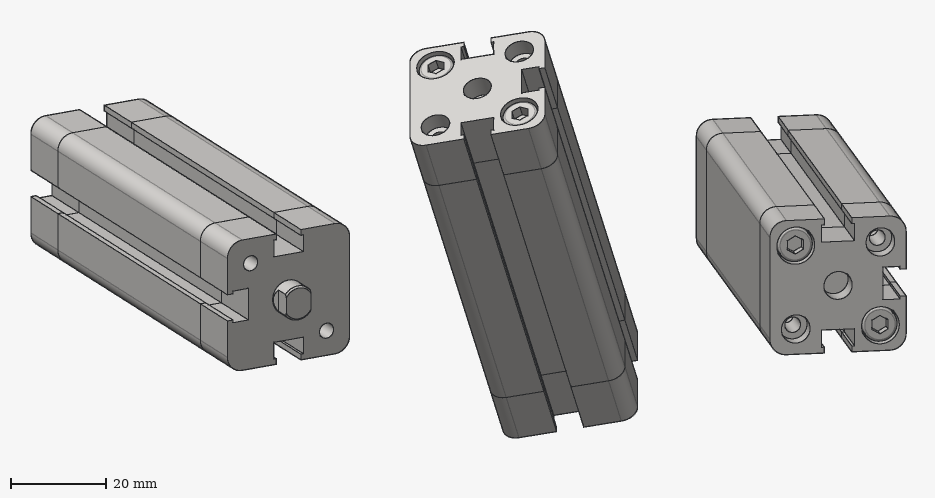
import cadquery as cq
import math


TOTAL_LENGTH = 92.5
SIDE = 29.0
CORNER_RADIUS = 3.5
ROD_PROTRUSION = 4.5
CAP_LENGTH = 12.1
FRONT_FACE = TOTAL_LENGTH - ROD_PROTRUSION
FRONT_CAP_START = FRONT_FACE - CAP_LENGTH
BARREL_LENGTH = FRONT_CAP_START - CAP_LENGTH

SLOT_TURNS = (0, 90, 180)
SLOT_MOUTH = 5.8
SLOT_WIDTH = 7.0
SLOT_DEPTH = 5.0
SLOT_LIP = 1.3

CORNER_PITCH = 18.0
CORNER_OFFSET = CORNER_PITCH / 2
HOLE_CENTRES = [(-CORNER_OFFSET, CORNER_OFFSET), (CORNER_OFFSET, -CORNER_OFFSET)]
SCREW_CENTRES = [(CORNER_OFFSET, CORNER_OFFSET), (-CORNER_OFFSET, -CORNER_OFFSET)]

THROUGH_DIAMETER = 3.3
COUNTERBORE_DIAMETER = 6.1
COUNTERBORE_DEPTH = 3.7
CENTRE_BORE_DIAMETER = 6.0
CENTRE_BORE_DEPTH = 5.0

RECESS_DIAMETER = 8.05
RECESS_DEPTH = 4.5
HEAD_DIAMETER = 7.4
HEAD_FILLET = 0.5
HEAD_SUNK = 0.6
HEAD_HEIGHT = RECESS_DEPTH - HEAD_SUNK
SOCKET_WIDTH = 3.4
SOCKET_SIDES = 6
SOCKET_DEPTH = 2.3

ROD_DIAMETER = 7.6
ROD_CHAMFER = 0.4
ROD_FLAT_WIDTH = 5.9
ROD_FLAT_GAP = 1.1


def plane_at(x):
    """Workplane facing +X at the given X; its local axes are Y and Z."""
    return cq.Workplane("YZ", origin=(x, 0, 0))


def turned(shape, degrees):
    """Shape rotated about the cylinder axis."""
    return shape.rotate((0, 0, 0), (1, 0, 0), degrees)


def slot_cutter(start, length):
    """T-shaped slot, open at the +Z side."""
    half_mouth = SLOT_MOUTH / 2
    half_width = SLOT_WIDTH / 2
    top = SIDE / 2
    under_lip = top - SLOT_LIP
    floor = top - SLOT_DEPTH
    return (
        plane_at(start)
        .moveTo(-half_mouth, top)
        .lineTo(-half_mouth, under_lip)
        .lineTo(-half_width, under_lip)
        .lineTo(-half_width, floor)
        .lineTo(half_width, floor)
        .lineTo(half_width, under_lip)
        .lineTo(half_mouth, under_lip)
        .lineTo(half_mouth, top)
        .close()
        .extrude(length)
    )


def profile_block(start, length):
    """Length of the common profile: rounded square, T-slots and two through holes."""
    block = plane_at(start).rect(SIDE, SIDE).extrude(length)
    block = block.edges("|X").fillet(CORNER_RADIUS)
    slot = slot_cutter(start, length)
    for turn in SLOT_TURNS:
        block = block.cut(turned(slot, turn))
    holes = plane_at(start).pushPoints(HOLE_CENTRES).circle(THROUGH_DIAMETER / 2).extrude(length)
    return block.cut(holes)


def screw_head():
    """Rounded screw head on the X axis with a hexagon socket in its rear face."""
    head = plane_at(HEAD_SUNK).circle(HEAD_DIAMETER / 2).extrude(HEAD_HEIGHT)
    head = head.faces("<X").edges().fillet(HEAD_FILLET)
    across_corners = SOCKET_WIDTH / math.cos(math.pi / SOCKET_SIDES)
    socket = plane_at(HEAD_SUNK).polygon(SOCKET_SIDES, across_corners).extrude(SOCKET_DEPTH)
    return head.cut(turned(socket, 180 / SOCKET_SIDES))


def make_rear_cap():
    """Rear cap with counterbores, a blind centre bore and two screw heads."""
    cap = profile_block(0, CAP_LENGTH)
    rear = plane_at(0)
    cap = cap.cut(rear.pushPoints(HOLE_CENTRES).circle(COUNTERBORE_DIAMETER / 2).extrude(COUNTERBORE_DEPTH))
    cap = cap.cut(rear.circle(CENTRE_BORE_DIAMETER / 2).extrude(CENTRE_BORE_DEPTH))
    cap = cap.cut(rear.pushPoints(SCREW_CENTRES).circle(RECESS_DIAMETER / 2).extrude(RECESS_DEPTH))
    head = screw_head()
    for y, z in SCREW_CENTRES:
        cap = cap.union(head.translate((0, y, z)))
    return cap


def make_front_cap():
    """Front cap with a bore that fits the piston rod."""
    cap = profile_block(FRONT_CAP_START, CAP_LENGTH)
    return cap.cut(plane_at(FRONT_CAP_START).circle(ROD_DIAMETER / 2).extrude(CAP_LENGTH))


def make_piston_rod():
    """Rod from the barrel to the tip, with two wrench flats that run out at 45 degrees."""
    rod_length = TOTAL_LENGTH - FRONT_CAP_START
    rod = plane_at(FRONT_CAP_START).circle(ROD_DIAMETER / 2).extrude(rod_length)
    rod = rod.faces(">X").chamfer(ROD_CHAMFER)
    flat_start = FRONT_FACE + ROD_FLAT_GAP
    flat = ROD_FLAT_WIDTH / 2
    outside = ROD_DIAMETER / 2
    flat_cutter = (
        cq.Workplane("XY")
        .moveTo(flat_start, flat)
        .lineTo(TOTAL_LENGTH, flat)
        .lineTo(TOTAL_LENGTH, outside)
        .lineTo(flat_start - (outside - flat), outside)
        .close()
        .extrude(outside, both=True)
    )
    return rod.cut(flat_cutter).cut(flat_cutter.mirror("XZ"))


rear_cap = make_rear_cap()
barrel = profile_block(CAP_LENGTH, BARREL_LENGTH)
front_cap = make_front_cap()
piston_rod = make_piston_rod()

bodies = [rear_cap, barrel, front_cap, piston_rod]
result = cq.Compound.makeCompound([body.solids().val() for body in bodies])